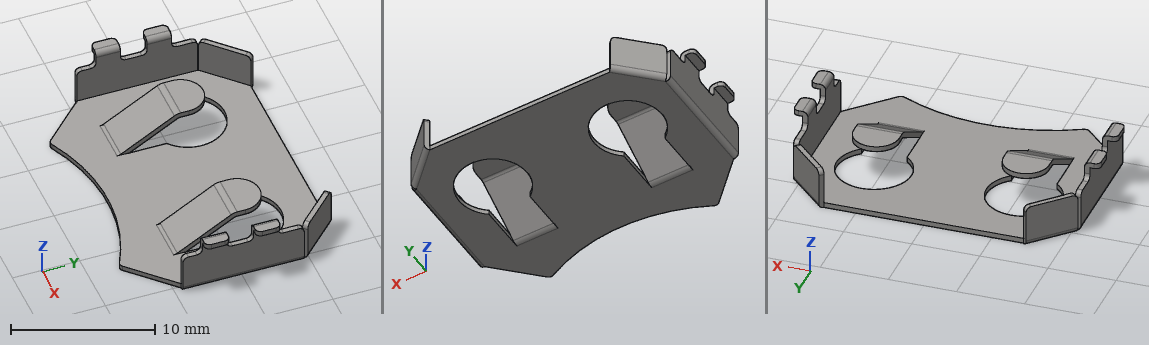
import cadquery as cq
import math

sheet = 0.4
corner_radius = 0.4
tab_bend_radius = 0.4

half_width = 10.15
flap_length = 4.0
rear_chamfer = flap_length / math.sqrt(2)
rear_half_width = half_width - rear_chamfer
wall_gap = 0.02
wall_length = 9.0
wall_rear_y = -rear_chamfer - wall_gap
wall_front_y = wall_rear_y - wall_length
tip_x = 6.8
tip_y = wall_front_y - (half_width - tip_x)
front_arc_y = -13.46

wall_height = 3.1
overall_height = 4.4
tab_reach = 11.25
tab_width = 1.82
tab_pitch = 3.8
first_tab_offset = 1.95

spring_x = 5.5
spring_width = 3.35
spring_height = 2.9
spring_angle = math.radians(30)
spring_hinge_y = -11.12
spring_tip_y = -4.24
spring_bend_radius = 0.55
hole_y = -5.4
hole_radius = 2.75


def make_plate():
    plate = (
        cq.Workplane("XY")
        .moveTo(-rear_half_width, 0)
        .lineTo(rear_half_width, 0)
        .lineTo(half_width, -rear_chamfer)
        .lineTo(half_width, wall_front_y)
        .lineTo(tip_x, tip_y)
        .threePointArc((0, front_arc_y), (-tip_x, tip_y))
        .lineTo(-half_width, wall_front_y)
        .lineTo(-half_width, -rear_chamfer)
        .close()
        .extrude(sheet)
    )
    for side in (-1, 1):
        tip_edge = cq.selectors.NearestToPointSelector((side * tip_x, tip_y, sheet / 2))
        plate = plate.edges(tip_edge).fillet(corner_radius)
    return plate


def make_upright(length):
    """Bent-up strip with its inner face at X = 0, running from Y = 0 to Y = -length.

    The outside of the bend is a quarter circle as large as the sheet thickness.
    """
    corner_middle = (sheet * math.sin(math.pi / 4), sheet - sheet * math.cos(math.pi / 4))
    return (
        cq.Workplane("XZ")
        .moveTo(0, 0)
        .lineTo(0, wall_height)
        .lineTo(sheet, wall_height)
        .lineTo(sheet, sheet)
        .threePointArc(corner_middle, (0, 0))
        .close()
        .extrude(length)
        .edges("|X and >Z").fillet(corner_radius)
    )


def make_wall():
    """Right-hand side wall with its two outward solder tabs."""
    wall = make_upright(wall_length).translate((half_width, wall_rear_y, 0))
    for index in range(2):
        tab_y = wall_rear_y - first_tab_offset - tab_width / 2 - index * tab_pitch
        wall = wall.union(make_tab(tab_y))
        for side in (-1, 1):
            root = (half_width + sheet / 2, tab_y + side * tab_width / 2, wall_height)
            wall = wall.edges(cq.selectors.NearestToPointSelector(root)).fillet(corner_radius)
    return wall


def make_tab(tab_y):
    """L-shaped tab standing on the wall and bent outward at the top."""
    outer_x = half_width + sheet
    flange_z = overall_height - sheet
    upright_bottom = wall_height - sheet
    tab = (
        cq.Workplane("XZ", origin=(0, tab_y, 0))
        .moveTo(half_width, upright_bottom)
        .lineTo(outer_x, upright_bottom)
        .lineTo(outer_x, flange_z)
        .lineTo(tab_reach, flange_z)
        .lineTo(tab_reach, overall_height)
        .lineTo(half_width, overall_height)
        .close()
        .extrude(tab_width / 2, both=True)
    )
    outside = cq.selectors.NearestToPointSelector((half_width, tab_y, overall_height))
    tab = tab.edges(outside).fillet(tab_bend_radius)
    return tab.faces(">X").edges("|Z").fillet(corner_radius)


def make_flap():
    """Right-hand rear flap, standing outside the 45 degree plate edge."""
    return (
        make_upright(flap_length)
        .rotate((0, 0, 0), (0, 0, 1), 45)
        .translate((rear_half_width, 0, 0))
    )


def make_spring_opening():
    """Round hole running into the slot the right-hand spring is bent out of."""
    slot_front_y = spring_hinge_y - spring_bend_radius * math.tan(spring_angle / 2)
    slot_length = hole_y - slot_front_y
    slot = (
        cq.Workplane("XY")
        .center(spring_x, hole_y - slot_length / 2)
        .rect(spring_width, slot_length)
        .extrude(sheet)
    )
    hole = cq.Workplane("XY").center(spring_x, hole_y).circle(hole_radius).extrude(sheet)
    return hole.union(slot)


def make_spring():
    """Right-hand contact spring: hinge strip, 30 degree ramp and flat rounded tip."""
    mitre = sheet * math.tan(spring_angle / 2)
    hinge_setback = spring_bend_radius * math.tan(spring_angle / 2)
    ramp_end_y = spring_hinge_y + (spring_height - sheet) / math.tan(spring_angle)
    root_y = spring_hinge_y - hinge_setback - sheet
    flat_bottom = spring_height - sheet
    hinge_top = (spring_hinge_y, sheet)
    hinge_bottom = (spring_hinge_y + mitre, 0)
    crest_top = (ramp_end_y, spring_height)
    crest_bottom = (ramp_end_y + mitre, flat_bottom)
    outline = [
        (root_y, 0),
        hinge_bottom,
        crest_bottom,
        (spring_tip_y, flat_bottom),
        (spring_tip_y, spring_height),
        crest_top,
        hinge_top,
        (root_y, sheet),
    ]
    spring = (
        cq.Workplane("YZ", origin=(spring_x, 0, 0))
        .polyline(outline)
        .close()
        .extrude(spring_width / 2, both=True)
    )
    outside_radius = spring_bend_radius + sheet
    bends = (
        (hinge_top, spring_bend_radius),
        (hinge_bottom, outside_radius),
        (crest_top, outside_radius),
        (crest_bottom, spring_bend_radius),
    )
    for (bend_y, bend_z), radius in bends:
        bend_edge = cq.selectors.NearestToPointSelector((spring_x, bend_y, bend_z))
        spring = spring.edges(bend_edge).fillet(radius)
    tip_radius = spring_width / 2
    rounded_plan = (
        cq.Workplane("XY")
        .moveTo(spring_x - tip_radius, root_y)
        .lineTo(spring_x + tip_radius, root_y)
        .lineTo(spring_x + tip_radius, spring_tip_y - tip_radius)
        .threePointArc((spring_x, spring_tip_y), (spring_x - tip_radius, spring_tip_y - tip_radius))
        .close()
        .extrude(overall_height)
    )
    return spring.intersect(rounded_plan)


def on_both_sides(body):
    return body.union(body.mirror("YZ"))


result = make_plate().cut(on_both_sides(make_spring_opening()))
for feature in (make_wall(), make_flap(), make_spring()):
    result = result.union(on_both_sides(feature))